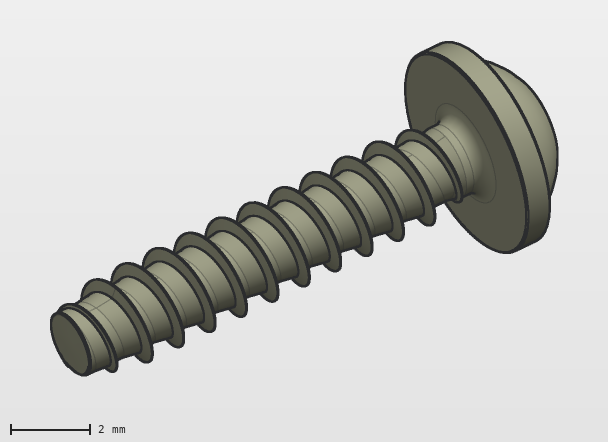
import cadquery as cq
import math


head_height = 1.9
dome_height = 1.18
dome_base_radius = 2.33
dome_sphere_radius = 2.53
flange_radius = 2.75
flange_edge_chamfer = 0.04

shank_length = 12.0
neck_radius = 0.96
neck_fillet_radius = 0.4
neck_depth = 0.62
core_radius = 0.865
core_start_depth = 1.0
tip_chamfer = 0.05
tip_cone_height = 0.03

thread_pitch = 0.95
crest_radius = 1.25
crest_width = 0.03
ridge_root_radius = 0.85
ridge_base_radius = 0.8
head_flank_width = 0.15
tip_flank_width = 0.11
shoulder_radius = 0.94
root_slope_width = 0.575
run_in_turns = 1.25
run_in_crest_radius = 0.94
full_thread_turns = 9.5
run_out_turns = 1.5
run_out_crest_radius = 0.86
thread_start_depth = 0.365
thread_start_angle = 180.0

tip_rim = tip_cone_height - shank_length


def make_head_and_core():
    """Revolve the domed flange head, filleted neck, core and shallow conical tip."""
    flange_top = head_height - dome_height
    sphere_center = flange_top - math.sqrt(dome_sphere_radius**2 - dome_base_radius**2)

    def dome_radius_at(y):
        return math.sqrt(dome_sphere_radius**2 - (y - sphere_center) ** 2)

    dome_middle = flange_top + dome_height / 2
    fillet_center_radius = neck_radius + neck_fillet_radius
    fillet_reach = neck_fillet_radius * math.sqrt(0.5)
    profile = (
        cq.Workplane("ZY")
        .moveTo(0, head_height)
        .lineTo(dome_radius_at(head_height), head_height)
        .threePointArc((dome_radius_at(dome_middle), dome_middle), (dome_base_radius, flange_top))
        .lineTo(flange_radius - flange_edge_chamfer, flange_top)
        .lineTo(flange_radius, flange_top - flange_edge_chamfer)
        .lineTo(flange_radius, flange_edge_chamfer)
        .lineTo(flange_radius - flange_edge_chamfer, 0)
        .lineTo(fillet_center_radius, 0)
        .threePointArc(
            (fillet_center_radius - fillet_reach, fillet_reach - neck_fillet_radius),
            (neck_radius, -neck_fillet_radius),
        )
        .lineTo(neck_radius, -neck_depth)
        .lineTo(core_radius, -core_start_depth)
        .lineTo(core_radius, tip_rim + tip_chamfer)
        .lineTo(core_radius - tip_chamfer, tip_rim)
        .lineTo(0, -shank_length)
        .close()
    )
    return profile.revolve(360, (0, 0, 0), (0, 1, 0))


def make_helix(start_radius, end_radius, start_height, rise, start_turn, turns):
    """Right-handed helix about Z whose radius changes evenly from start to end."""
    pitch = rise / turns
    if start_radius == end_radius:
        helix = cq.Wire.makeHelix(pitch, rise, start_radius)
    else:
        taper = math.atan2(end_radius - start_radius, rise)
        slant = 1 / math.cos(taper)
        helix = cq.Wire.makeHelix(
            pitch * slant, rise * slant, start_radius, angle=math.degrees(taper)
        )
    helix = helix.rotate(cq.Vector(0, 0, 0), cq.Vector(0, 0, 1), 360 * start_turn)
    return helix.translate(cq.Vector(0, 0, start_height)).Edges()[0]


def ridge_section(crest, shoulder):
    """Ridge outline as (radius, axial offset from the crest centre toward the tip)."""
    half_crest = crest_width / 2
    height_share = (crest - ridge_root_radius) / (crest_radius - ridge_root_radius)
    head_flank_end = -half_crest - head_flank_width * height_share
    tip_flank_end = half_crest + tip_flank_width * height_share
    slope_end = half_crest + tip_flank_width + root_slope_width
    return [
        (ridge_base_radius, head_flank_end),
        (ridge_root_radius, head_flank_end),
        (crest, -half_crest),
        (crest, half_crest),
        (shoulder, tip_flank_end),
        (ridge_root_radius, slope_end),
        (ridge_base_radius, slope_end),
    ]


def make_ridge_faces(start_section, end_section, start_turn, turns):
    """Ruled helical faces joining each pair of neighbouring section corners."""
    start_height = start_turn * thread_pitch
    advance = turns * thread_pitch
    helices = []
    for (start_radius, start_offset), (end_radius, end_offset) in zip(start_section, end_section):
        rise = advance + end_offset - start_offset
        height = start_height + start_offset
        helices.append(make_helix(start_radius, end_radius, height, rise, start_turn, turns))
    return [
        cq.Face.makeRuledSurface(helices[index - 1], helix)
        for index, helix in enumerate(helices)
    ]


def make_ridge_cap(section, turn):
    """Flat radial face closing the ridge at the given turn."""
    points = [cq.Vector(radius, 0, offset) for radius, offset in section]
    cap = cq.Face.makeFromWires(cq.Wire.makePolygon(points, close=True))
    cap = cap.rotate(cq.Vector(0, 0, 0), cq.Vector(0, 0, 1), 360 * turn)
    return cap.translate(cq.Vector(0, 0, turn * thread_pitch))


def make_thread():
    """Thread ridge with run-in and run-out, built along +Z and turned onto the screw axis."""
    run_in_section = ridge_section(run_in_crest_radius, ridge_root_radius)
    full_section = ridge_section(crest_radius, shoulder_radius)
    run_out_section = ridge_section(run_out_crest_radius, ridge_root_radius)

    full_start = run_in_turns
    full_end = full_start + full_thread_turns
    thread_end = full_end + run_out_turns

    faces = [make_ridge_cap(run_in_section, 0)]
    faces += make_ridge_faces(run_in_section, full_section, 0, run_in_turns)
    faces += make_ridge_faces(full_section, full_section, full_start, full_thread_turns)
    faces += make_ridge_faces(full_section, run_out_section, full_end, run_out_turns)
    faces.append(make_ridge_cap(run_out_section, thread_end))

    ridge = cq.Solid.makeSolid(cq.Shell.makeShell(faces)).fix()
    return (
        cq.Workplane("XY")
        .newObject([ridge])
        .rotate((0, 0, 0), (0, 0, 1), thread_start_angle)
        .rotate((0, 0, 0), (1, 0, 0), 90)
        .translate((0, -thread_start_depth, 0))
    )


def make_tip_trim():
    """Cylinder beyond the tip that removes the end of the ridge running past it."""
    trim_length = 2 * thread_pitch
    trim_radius = 2 * crest_radius
    return cq.Workplane("XZ", origin=(0, tip_rim, 0)).circle(trim_radius).extrude(trim_length)


thread = make_thread().cut(make_tip_trim())
result = make_head_and_core().union(thread)